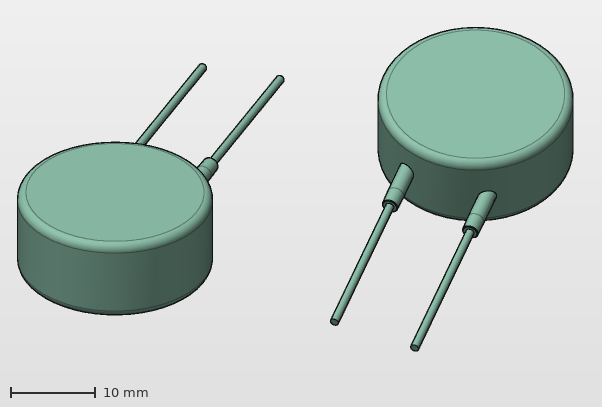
import cadquery as cq

body_diameter = 23.0
body_height = 10.2
edge_radius = 1.0
body_radius = body_diameter / 2

total_length = 48.0
lead_end_y = total_length - body_radius
lead_spacing = 10.0
wire_diameter = 1.0
wire_length = 20.0
lead_height_step = wire_diameter

sleeve_diameter = 2.0
sleeve_tip_diameter = 1.9
tip_bevel = 0.1
taper_length = 2.15
sleeve_tip_y = lead_end_y - wire_length
taper_start_y = sleeve_tip_y - taper_length
sleeve_root_y = body_radius / 2


def make_body():
    disc = cq.Workplane("XY").cylinder(body_height, body_radius)
    return disc.faces("|Z").edges().fillet(edge_radius)


def make_lead(x, z):
    """Revolve the stepped profile of one sleeve and wire about the lead axis."""
    profile = [
        (0, sleeve_root_y),
        (sleeve_diameter / 2, sleeve_root_y),
        (sleeve_diameter / 2, taper_start_y),
        (sleeve_tip_diameter / 2, sleeve_tip_y - tip_bevel),
        (sleeve_tip_diameter / 2 - tip_bevel, sleeve_tip_y),
        (wire_diameter / 2, sleeve_tip_y),
        (wire_diameter / 2, lead_end_y),
        (0, lead_end_y),
    ]
    lead = cq.Workplane("XY").polyline(profile).close().revolve(360, (0, 0, 0), (0, 1, 0))
    return lead.translate((x, 0, z))


result = make_body()
for side in (-1, 1):
    result = result.union(make_lead(side * lead_spacing / 2, side * lead_height_step / 2))